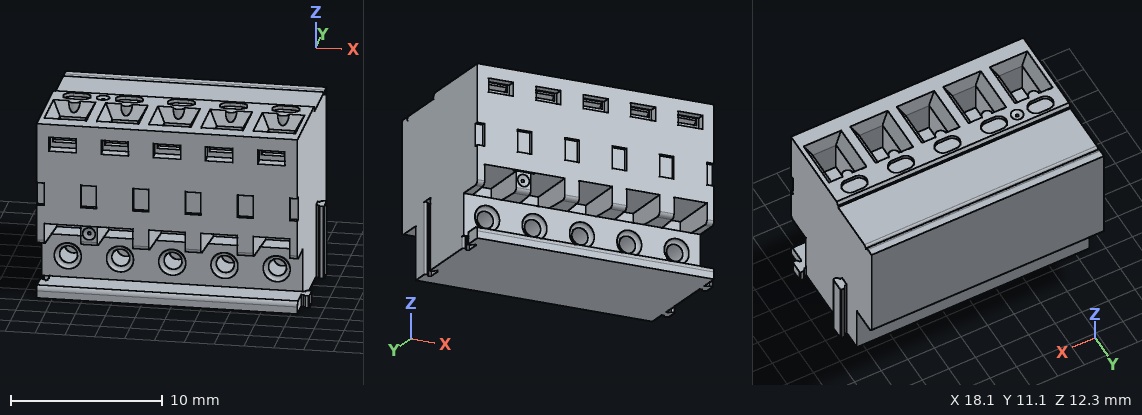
import cadquery as cq
import math


LENGTH = 18.08
KEY_REACH = 0.58
BODY_LENGTH = LENGTH - KEY_REACH
DEPTH = 11.1
HEIGHT = 12.3
POLES = 5
PITCH = BODY_LENGTH / POLES

FRONT_WALL_Y = 2.02
REAR_WALL_Y = 9.08
HEAD_Z = 3.81
LEDGE_Z = 0.85
LEDGE_NOSE_LENGTH = 0.22
LEDGE_NOSE_HEIGHT = 0.33
REAR_TOP_Z = 11.91
STEP_Y = 6.49
STEP_CHAMFER = 0.2
EDGE_ROUND = 0.3
SEAM_Y = 10.3
SEAM_ROUND_FRONT = 0.22
SEAM_ROUND_REAR = 0.25

POCKET_WIDTH = 2.82
POCKET_FRONT_Y = 1.14
POCKET_REAR_Y = 4.63
SHAFT_WIDTH = 1.77
SHAFT_FRONT_Y = 1.4
SHAFT_REAR_Y = 4.1
FUNNEL_DEPTH = 0.94
POCKET_DEPTH = 3.25
TAB_RADIUS = 0.38

OVAL_LENGTH = 1.83
OVAL_WIDTH = 1.12
OVAL_Y = 5.55
OVAL_DEPTH = 0.25

WINDOW_WIDTH = 1.83
WINDOW_Z = 10.41
WINDOW_HEIGHT = 0.98
WINDOW_DEPTH = 0.61
SILL_RISE = 0.07
PROBE_WIDTH = 1.54
PROBE_Z = 10.85
PROBE_HEIGHT = 0.52
PROBE_LIP = 0.15
PROBE_LIP_DEPTH = 0.09
PROBE_DEPTH = 0.47

NOTCH_WIDTH = 1.05
NOTCH_Z = 6.56
NOTCH_HEIGHT = 1.57
NOTCH_DEPTH = 0.29

BAY_WIDTH = 2.44
BAY_TOP_Z = 5.28
BAY_DEPTH = 3.44
BAY_DRAFT = 0.24
POST_SETBACK = 0.18

SOCKET_DIAMETER = 1.2
SOCKET_ROUND = 0.3
SOCKET_Z = 2.33
SOCKET_DEPTH = 2.17

DIMPLE_DIAMETER = 0.85
DIMPLE_TIP_DIAMETER = 0.2
DIMPLE_DEPTH = 0.1
TOP_DIMPLE_Y = 5.53
FRONT_DIMPLE_Z = 4.68

COUPLINGS = [(1.79, LEDGE_Z), (7.38, 5.1)]
KEY_STEM_HALF = 0.33
KEY_HEAD_HALF = 0.52
KEY_STEM_LENGTH = 0.15
KEY_HEAD_START = 0.29
KEY_CORNER = 0.07
SLOT_NECK_HALF = 0.35
SLOT_MOUTH_ROUND = 0.16
SLOT_FLARE = 0.27
SLOT_BACK_TAPER = 0.1

COS_45 = math.sqrt(0.5)
POLE_CENTRES = [(i + 0.5) * PITCH for i in range(POLES)]


def box(x_centre, width, y0, y1, z0, z1):
    """Block centred on x_centre, spanning the given Y and Z ranges."""
    return (
        cq.Workplane("XY")
        .box(width, y1 - y0, z1 - z0, centered=(True, False, False))
        .translate((x_centre, y0, z0))
    )


def make_body():
    """Plain housing: the side profile extruded over all poles."""
    round_mid = 1 - COS_45
    nose_radius = (LEDGE_NOSE_LENGTH**2 + LEDGE_NOSE_HEIGHT**2) / (2 * LEDGE_NOSE_LENGTH)
    profile = (
        cq.Workplane("YZ")
        .moveTo(0, 0)
        .lineTo(REAR_WALL_Y, 0)
        .lineTo(REAR_WALL_Y, HEAD_Z)
        .lineTo(DEPTH - EDGE_ROUND, HEAD_Z)
        .radiusArc((DEPTH, HEAD_Z + EDGE_ROUND), -EDGE_ROUND)
        .lineTo(DEPTH, REAR_TOP_Z)
        .lineTo(SEAM_Y + SEAM_ROUND_REAR, REAR_TOP_Z)
        .threePointArc(
            (SEAM_Y + round_mid * SEAM_ROUND_REAR, REAR_TOP_Z - round_mid * SEAM_ROUND_REAR),
            (SEAM_Y, REAR_TOP_Z - SEAM_ROUND_REAR),
        )
        .lineTo(SEAM_Y, REAR_TOP_Z - SEAM_ROUND_FRONT)
        .threePointArc(
            (SEAM_Y - round_mid * SEAM_ROUND_FRONT, REAR_TOP_Z - round_mid * SEAM_ROUND_FRONT),
            (SEAM_Y - SEAM_ROUND_FRONT, REAR_TOP_Z),
        )
        .lineTo(STEP_Y, REAR_TOP_Z)
        .lineTo(STEP_Y, HEIGHT - STEP_CHAMFER)
        .lineTo(STEP_Y - STEP_CHAMFER, HEIGHT)
        .lineTo(0, HEIGHT)
        .lineTo(0, HEAD_Z + EDGE_ROUND)
        .radiusArc((EDGE_ROUND, HEAD_Z), -EDGE_ROUND)
        .lineTo(FRONT_WALL_Y, HEAD_Z)
        .lineTo(FRONT_WALL_Y, LEDGE_Z)
        .lineTo(LEDGE_NOSE_LENGTH, LEDGE_Z)
        .radiusArc((0, LEDGE_Z - LEDGE_NOSE_HEIGHT), -nose_radius)
        .close()
    )
    return profile.extrude(BODY_LENGTH)


def make_pocket(x):
    """Funnel and straight shaft, less the round tab on the rear wall of the funnel."""
    mouth_depth = POCKET_REAR_Y - POCKET_FRONT_Y
    mouth_y = (POCKET_REAR_Y + POCKET_FRONT_Y) / 2
    shaft_length = SHAFT_REAR_Y - SHAFT_FRONT_Y
    shaft_y = (SHAFT_REAR_Y + SHAFT_FRONT_Y) / 2
    funnel = (
        cq.Workplane("XY", origin=(x, mouth_y, HEIGHT))
        .rect(POCKET_WIDTH, mouth_depth)
        .workplane(offset=-FUNNEL_DEPTH)
        .center(0, shaft_y - mouth_y)
        .rect(SHAFT_WIDTH, shaft_length)
        .loft(ruled=True)
    )
    tab = (
        cq.Workplane("XY", origin=(x, POCKET_REAR_Y, HEIGHT))
        .circle(TAB_RADIUS)
        .extrude(-FUNNEL_DEPTH)
    )
    shaft = box(x, SHAFT_WIDTH, SHAFT_FRONT_Y, SHAFT_REAR_Y, HEIGHT - POCKET_DEPTH, HEIGHT - FUNNEL_DEPTH)
    return funnel.cut(tab).union(shaft)


def make_oval(x):
    """Shallow oval recess behind a pocket."""
    return (
        cq.Workplane("XY", origin=(x, OVAL_Y, HEIGHT))
        .slot2D(OVAL_LENGTH, OVAL_WIDTH)
        .extrude(-OVAL_DEPTH)
    )


def make_window(x):
    """Window with a slightly rising sill and a narrower probe slot under a sloping ceiling."""
    window_top = WINDOW_Z + WINDOW_HEIGHT
    window = (
        cq.Workplane("YZ", origin=(x, 0, 0))
        .moveTo(0, WINDOW_Z)
        .lineTo(WINDOW_DEPTH, WINDOW_Z + SILL_RISE)
        .lineTo(WINDOW_DEPTH, window_top)
        .lineTo(0, window_top)
        .close()
        .extrude(WINDOW_WIDTH / 2, both=True)
    )
    lip_y = WINDOW_DEPTH + PROBE_LIP_DEPTH
    probe_top = PROBE_Z + PROBE_HEIGHT
    probe = (
        cq.Workplane("YZ", origin=(x, 0, 0))
        .moveTo(WINDOW_DEPTH, PROBE_Z)
        .lineTo(WINDOW_DEPTH + PROBE_DEPTH, PROBE_Z)
        .lineTo(lip_y, probe_top - PROBE_LIP)
        .lineTo(lip_y, probe_top)
        .lineTo(WINDOW_DEPTH, probe_top)
        .close()
        .extrude(PROBE_WIDTH / 2, both=True)
    )
    return window.union(probe)


def make_bay(x):
    """Drafted bay, open below where it passes over the ledge and closed inside the lower wall."""
    half = BAY_WIDTH / 2
    back_half = half - BAY_DRAFT
    back_top_z = BAY_TOP_Z - BAY_DRAFT
    return (
        cq.Workplane("XZ", origin=(x, 0, 0))
        .polyline([(-half, HEAD_Z), (half, HEAD_Z), (half, BAY_TOP_Z), (-half, BAY_TOP_Z)])
        .close()
        .workplane(offset=-BAY_DEPTH)
        .polyline([
            (-back_half, HEAD_Z),
            (back_half, HEAD_Z),
            (back_half, back_top_z),
            (-back_half, back_top_z),
        ])
        .close()
        .loft(ruled=True)
    )


def make_post_recess(x):
    """Sets back the front of the post centred on x, keeping its rounded lower edge."""
    width = PITCH - BAY_WIDTH + 2 * BAY_DRAFT
    return (
        cq.Workplane("YZ", origin=(x, 0, 0))
        .moveTo(0, HEAD_Z)
        .lineTo(POST_SETBACK + EDGE_ROUND, HEAD_Z)
        .radiusArc((POST_SETBACK, HEAD_Z + EDGE_ROUND), EDGE_ROUND)
        .lineTo(POST_SETBACK, BAY_TOP_Z)
        .lineTo(0, BAY_TOP_Z)
        .close()
        .extrude(width / 2, both=True)
    )


def make_socket(x):
    """Blind round socket with a rounded mouth, revolved about its own axis."""
    radius = SOCKET_DIAMETER / 2
    return (
        cq.Workplane("XY", origin=(x, FRONT_WALL_Y, SOCKET_Z))
        .moveTo(0, 0)
        .lineTo(radius + SOCKET_ROUND, 0)
        .radiusArc((radius, SOCKET_ROUND), -SOCKET_ROUND)
        .lineTo(radius, SOCKET_DEPTH)
        .lineTo(0, SOCKET_DEPTH)
        .close()
        .revolve(360, (0, 0, 0), (0, 1, 0))
    )


def make_dimple(point, direction):
    """Shallow cone sunk at a point along the given direction."""
    cone = cq.Solid.makeCone(
        DIMPLE_DIAMETER / 2,
        DIMPLE_TIP_DIAMETER / 2,
        DIMPLE_DEPTH,
        pnt=cq.Vector(*point),
        dir=cq.Vector(*direction),
    )
    return cq.Workplane(cone)


def make_key(y, top_z):
    """Mushroom-shaped key on the right side."""
    shoulder = KEY_REACH - KEY_CORNER
    upper = [
        (0, KEY_STEM_HALF),
        (KEY_STEM_LENGTH, KEY_STEM_HALF),
        (KEY_HEAD_START, KEY_HEAD_HALF),
        (shoulder, KEY_HEAD_HALF),
        (KEY_REACH, KEY_HEAD_HALF - KEY_CORNER),
    ]
    lower = [(x, -offset) for x, offset in reversed(upper)]
    return (
        cq.Workplane("XY", origin=(BODY_LENGTH, y, 0))
        .polyline(upper + lower)
        .close()
        .extrude(top_z)
    )


def make_slot(y, top_z):
    """Undercut slot with a rounded mouth on the left side."""
    neck = SLOT_NECK_HALF
    mouth = neck + SLOT_MOUTH_ROUND
    wide = neck + SLOT_FLARE
    wide_x = SLOT_MOUTH_ROUND + SLOT_FLARE
    back_x = wide_x + SLOT_BACK_TAPER
    back = wide - SLOT_BACK_TAPER
    return (
        cq.Workplane("XY", origin=(0, y, 0))
        .moveTo(0, mouth)
        .radiusArc((SLOT_MOUTH_ROUND, neck), -SLOT_MOUTH_ROUND)
        .lineTo(wide_x, wide)
        .lineTo(back_x, back)
        .lineTo(back_x, -back)
        .lineTo(wide_x, -wide)
        .lineTo(SLOT_MOUTH_ROUND, -neck)
        .radiusArc((0, -mouth), -SLOT_MOUTH_ROUND)
        .close()
        .extrude(top_z)
    )


result = make_body()

for pole_x in POLE_CENTRES:
    for make_cutter in (make_pocket, make_oval, make_window, make_bay, make_socket):
        result = result.cut(make_cutter(pole_x))

for i in range(POLES + 1):
    notch = box(i * PITCH, NOTCH_WIDTH, 0, NOTCH_DEPTH, NOTCH_Z, NOTCH_Z + NOTCH_HEIGHT)
    result = result.cut(notch)

result = result.cut(make_dimple((PITCH, TOP_DIMPLE_Y, HEIGHT), (0, 0, -1)))
result = result.cut(make_post_recess(PITCH))
result = result.cut(make_dimple((PITCH, POST_SETBACK, FRONT_DIMPLE_Z), (0, 1, 0)))

for coupling_y, coupling_top in COUPLINGS:
    result = result.cut(make_slot(coupling_y, coupling_top))
    result = result.union(make_key(coupling_y, coupling_top))